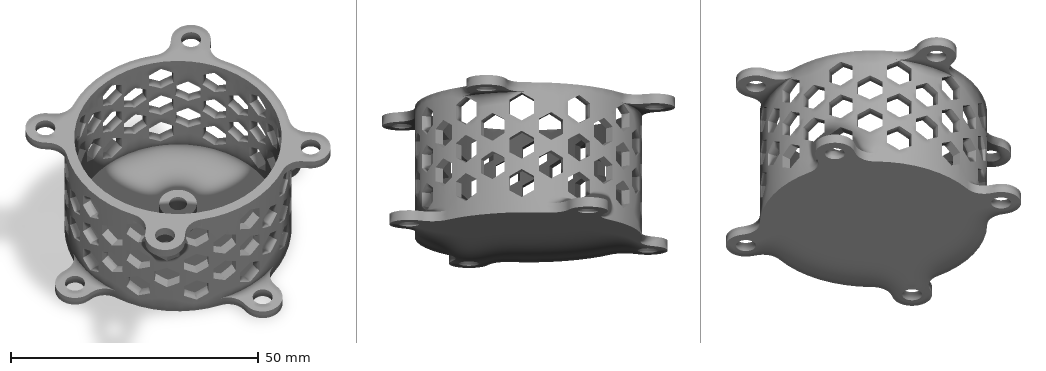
import cadquery as cq
import math

overall_span = 62.0
height = 27.0
outer_diameter = 46.0
inner_diameter = 42.0
floor_thickness = 2.0

tab_thickness = 2.0
tab_radius = 4.0
tab_fillet_radius = 4.0
tab_hole_diameter = 4.0
tabs_per_ring = 4

boss_diameter = 7.6
boss_top = 7.1
boss_hole_diameter = 3.6

window_width = 5.0
columns_per_set = 12
window_pitch = 7.95
window_middle_height = 14.0

outer_radius = outer_diameter / 2
tab_tip_radius = overall_span / 2
tab_center_radius = tab_tip_radius - tab_radius
tab_step = 360 / tabs_per_ring
rim_tab_bottom = height - tab_thickness
rim_tab_angle = tab_step / 2
window_point_diameter = window_width / math.cos(math.pi / 6)
column_step = 360 / columns_per_set


def turned(shape, angle):
    """The shape turned about the cup axis."""
    return shape.rotate((0, 0, 0), (0, 0, 1), angle)


def make_disc(diameter, bottom, thickness):
    """Cylinder on the cup axis."""
    return cq.Workplane("XY").workplane(offset=bottom).circle(diameter / 2).extrude(thickness)


def make_tab(bottom):
    """Tab along +X, reaching in to the axis, with sides blended into the cup wall."""
    blend_y = tab_radius + tab_fillet_radius
    blend_distance = outer_radius + tab_fillet_radius
    blend_angle = math.asin(blend_y / blend_distance)
    blend_x = blend_distance * math.cos(blend_angle)

    wall_x = outer_radius * math.cos(blend_angle)
    wall_y = outer_radius * math.sin(blend_angle)

    mid_angle = (blend_angle - math.pi - math.pi / 2) / 2
    mid_x = blend_x + tab_fillet_radius * math.cos(mid_angle)
    mid_y = blend_y + tab_fillet_radius * math.sin(mid_angle)

    return (
        cq.Workplane("XY")
        .workplane(offset=bottom)
        .moveTo(wall_x, wall_y)
        .threePointArc((mid_x, mid_y), (blend_x, tab_radius))
        .lineTo(tab_center_radius, tab_radius)
        .threePointArc((tab_tip_radius, 0), (tab_center_radius, -tab_radius))
        .lineTo(blend_x, -tab_radius)
        .threePointArc((mid_x, -mid_y), (wall_x, -wall_y))
        .lineTo(0, 0)
        .close()
        .extrude(tab_thickness)
    )


def add_tab_ring(body, first_angle, bottom):
    """Body with a ring of drilled tabs added."""
    tab = make_tab(bottom)
    for i in range(tabs_per_ring):
        body = body.union(turned(tab, first_angle + i * tab_step))
    holes = (
        cq.Workplane("XY")
        .workplane(offset=bottom)
        .polarArray(tab_center_radius, first_angle, 360, tabs_per_ring)
        .circle(tab_hole_diameter / 2)
        .extrude(tab_thickness)
    )
    return body.cut(holes)


def cut_windows(body, first_angle, rows):
    """Body with every second column of windows cut radially through its wall."""
    first_height = window_middle_height - window_pitch * (rows - 1) / 2
    window = (
        cq.Workplane("YZ")
        .transformed(rotate=(0, 0, 90))
        .polygon(6, window_point_diameter)
        .extrude(tab_tip_radius)
    )
    for column in range(columns_per_set):
        column_window = turned(window, first_angle + column * column_step)
        for row in range(rows):
            body = body.cut(column_window.translate((0, 0, first_height + row * window_pitch)))
    return body


cup = make_disc(outer_diameter, 0, height)
cup = add_tab_ring(cup, 0, 0)
cup = add_tab_ring(cup, rim_tab_angle, rim_tab_bottom)
cup = cup.cut(make_disc(inner_diameter, floor_thickness, height))

cup = cut_windows(cup, 0, 3)
cup = cut_windows(cup, column_step / 2, 2)

boss_height = boss_top - floor_thickness
boss = make_disc(boss_diameter, floor_thickness, boss_height)
boss = boss.cut(make_disc(boss_hole_diameter, floor_thickness, boss_height))

result = cup.union(boss)